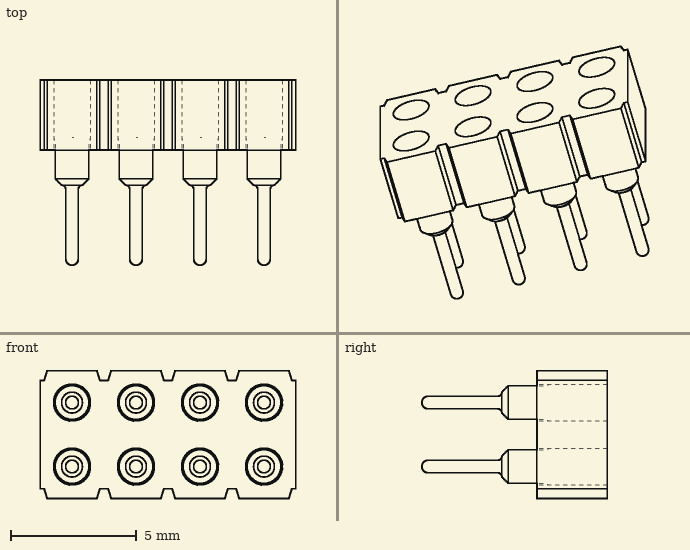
import cadquery as cq
import math

PITCH = 2.54
COLUMNS = 4
ROWS = 2

HOUSING_LENGTH = COLUMNS * PITCH
HOUSING_HEIGHT = ROWS * PITCH
HOUSING_DEPTH = 2.79
BORE_RADIUS = 0.73

NOTCH_DEPTH = 0.39
NOTCH_MOUTH_WIDTH = 0.56
NOTCH_FLOOR_WIDTH = 0.33

PIN_REACH = 4.57
SLEEVE_RADIUS = 0.67
SLEEVE_REACH = 1.14
SHANK_RADIUS = 0.25
NECK_FILLET = 0.16
SHOULDER_END_RADIUS = SHANK_RADIUS + NECK_FILLET
SHOULDER_LENGTH = SLEEVE_RADIUS - SHOULDER_END_RADIUS

FLARE_START = 0.3
FLARE_LENGTH = 0.2

COS_45 = math.sqrt(0.5)


def grid_offset(index, count):
    """Place of one row or column in a centred run of `count` of them."""
    return (index - (count - 1) / 2) * PITCH


def make_notch(center_x, side):
    """Trapezoidal groove along Y in the top (side = 1) or bottom (side = -1) face."""
    face_z = side * HOUSING_HEIGHT / 2
    floor_z = face_z - side * NOTCH_DEPTH
    outline = [
        (center_x - NOTCH_MOUTH_WIDTH / 2, face_z),
        (center_x - NOTCH_FLOOR_WIDTH / 2, floor_z),
        (center_x + NOTCH_FLOOR_WIDTH / 2, floor_z),
        (center_x + NOTCH_MOUTH_WIDTH / 2, face_z),
    ]
    return cq.Workplane("XZ").polyline(outline).close().extrude(-HOUSING_DEPTH)


def make_housing(contact_places):
    """Notched block with one through bore for each pin."""
    block = cq.Workplane("XZ").rect(HOUSING_LENGTH, HOUSING_HEIGHT).extrude(-HOUSING_DEPTH)
    for boundary in range(COLUMNS + 1):
        for side in (-1, 1):
            block = block.cut(make_notch(grid_offset(boundary, COLUMNS + 1), side))
    bores = cq.Workplane("XZ").pushPoints(contact_places).circle(BORE_RADIUS).extrude(-HOUSING_DEPTH)
    return block.cut(bores)


def make_pin(x, z):
    """Turned pin along Y: wide seat in the bore, sleeve, conical shoulder, neck and round-tipped shank."""
    flare_end = FLARE_START + FLARE_LENGTH
    shoulder_end = -SLEEVE_REACH - SHOULDER_LENGTH
    neck_mid_offset = NECK_FILLET * (1 - COS_45)
    tip_base = -PIN_REACH + SHANK_RADIUS
    tip_mid_offset = SHANK_RADIUS * COS_45
    half_profile = (
        cq.Workplane("ZY")
        .moveTo(0, HOUSING_DEPTH)
        .lineTo(BORE_RADIUS, HOUSING_DEPTH)
        .lineTo(BORE_RADIUS, flare_end)
        .lineTo(SLEEVE_RADIUS, FLARE_START)
        .lineTo(SLEEVE_RADIUS, -SLEEVE_REACH)
        .lineTo(SHOULDER_END_RADIUS, shoulder_end)
        .threePointArc(
            (SHANK_RADIUS + neck_mid_offset, shoulder_end - neck_mid_offset),
            (SHANK_RADIUS, shoulder_end - NECK_FILLET),
        )
        .lineTo(SHANK_RADIUS, tip_base)
        .threePointArc((tip_mid_offset, tip_base - tip_mid_offset), (0, -PIN_REACH))
        .close()
    )
    return half_profile.revolve(360, (0, 0, 0), (0, 1, 0)).translate((x, 0, z))


contact_places = [
    (grid_offset(column, COLUMNS), grid_offset(row, ROWS))
    for row in range(ROWS)
    for column in range(COLUMNS)
]

housing = make_housing(contact_places)
pins = [make_pin(x, z) for x, z in contact_places]

result = cq.Compound.makeCompound([housing.val(), *[pin.val() for pin in pins]])